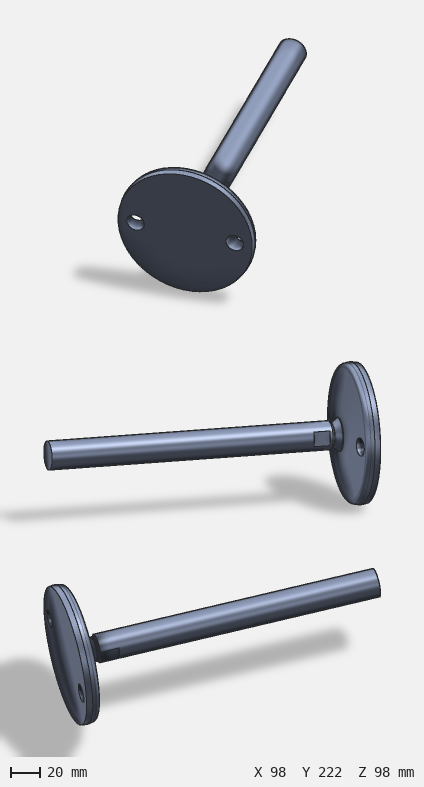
import cadquery as cq
import math

overall_length = 222.0

foot_diameter = 98.0
foot_end_radius = 48.5
widest_height = 4.2
rim_seam_height = 6.9
shoulder_height = 9.5
collar_base_radius = 11.8
collar_base_height = 15.5
collar_band_top = 16.0
collar_top_radius = 7.8
collar_top_height = 20.5

hole_diameter = 12.5
hole_offset = 35.7
hole_tool_length = 66.5

rod_diameter = 20.0
rod_bottom = 22.5
neck_top_radius = 6.7
neck_flare_radius = 8.7
neck_flare_height = 20.9
across_flats = 17.0
flats_bottom = 24.5
flats_length = 11.3

cone_rise = collar_base_height - shoulder_height
cone_run = foot_end_radius - collar_base_radius
cone_slope = math.atan2(cone_rise, cone_run)


def revolve_about_y(profile):
    """Turn a closed XY outline about the Y axis."""
    return profile.close().revolve(360, (0, 0, 0), (0, 1, 0))


def make_hole_cutter(side):
    """Cylinder leaning outward, square to the conical face; side is -1 or +1."""
    axis = cq.Vector(side * math.sin(cone_slope), math.cos(cone_slope), 0)
    start = cq.Vector(side * hole_offset, 0, 0) - axis * (hole_tool_length / 2)
    return cq.Solid.makeCylinder(hole_diameter / 2, hole_tool_length, start, axis)


def make_foot():
    tangent_length = shoulder_height - rim_seam_height
    arc_end_radius = foot_end_radius - tangent_length * math.cos(cone_slope)
    arc_end_height = shoulder_height + tangent_length * math.sin(cone_slope)
    arc_turn = math.pi / 2 - cone_slope
    arc_radius = tangent_length / math.tan(arc_turn / 2)
    arc_middle = (
        foot_end_radius - arc_radius * (1 - math.cos(arc_turn / 2)),
        rim_seam_height + arc_radius * math.sin(arc_turn / 2),
    )
    foot = revolve_about_y(
        cq.Workplane("XY")
        .lineTo(foot_end_radius, 0)
        .lineTo(foot_diameter / 2, widest_height)
        .lineTo(foot_end_radius, rim_seam_height)
        .threePointArc(arc_middle, (arc_end_radius, arc_end_height))
        .lineTo(collar_base_radius, collar_base_height)
        .lineTo(collar_base_radius, collar_band_top)
        .lineTo(collar_top_radius, collar_top_height)
        .lineTo(0, collar_top_height)
    )
    for side in (-1, 1):
        foot = foot.cut(cq.Workplane(make_hole_cutter(side)))
    return foot


def make_stud():
    stud = revolve_about_y(
        cq.Workplane("XY")
        .moveTo(0, collar_top_height)
        .lineTo(collar_top_radius, collar_top_height)
        .lineTo(neck_flare_radius, neck_flare_height)
        .lineTo(neck_top_radius, rod_bottom)
        .lineTo(rod_diameter / 2, rod_bottom)
        .lineTo(rod_diameter / 2, overall_length)
        .lineTo(0, overall_length)
    )
    for side in (-1, 1):
        cutter = cq.Workplane("XY").box(rod_diameter, flats_length, rod_diameter)
        cutter_x = side * (across_flats + rod_diameter) / 2
        stud = stud.cut(cutter.translate((cutter_x, flats_bottom + flats_length / 2, 0)))
    return stud


foot = make_foot()
stud = make_stud()
result = cq.Compound.makeCompound([foot.val(), stud.val()])